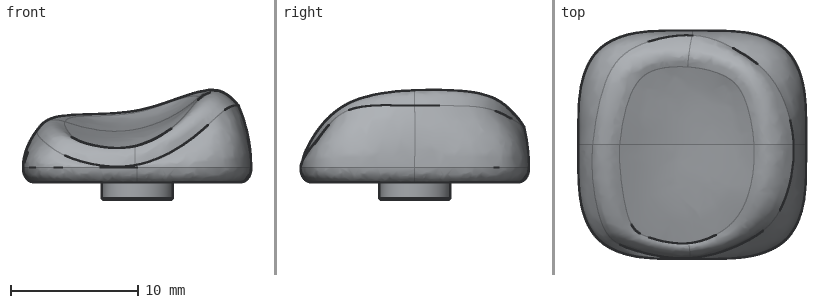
import cadquery as cq
import math

half_width = 8.97
half_depth = 8.98
squareness = 3.6
widest_height = 1.17
underside_inset = 0.86
outline_stations = 24

stem_diameter = 5.6
stem_length = 1.38
stem_chamfer = 0.15

outer_rim = [
    (-7.82, 0.0, 4.17),
    (-6.81, 4.9, 4.67),
    (-4.5, 7.65, 4.55),
    (0.0, 8.59, 4.35),
    (3.6, 7.37, 5.12),
    (6.47, 4.85, 5.93),
    (7.96, 0.0, 6.02),
    (6.97, -4.96, 5.75),
    (4.31, -7.55, 3.45),
    (-0.18, -8.9, 1.35),
    (-4.85, -8.18, 1.78),
    (-7.19, -5.93, 3.09),
]
crest = [
    (-6.92, 0.0, 4.85),
    (-6.02, 4.13, 5.21),
    (-3.95, 6.74, 5.3),
    (-0.22, 7.45, 5.48),
    (3.05, 6.74, 6.33),
    (5.3, 4.5, 7.06),
    (6.33, 0.0, 7.22),
    (5.66, -4.4, 6.56),
    (3.77, -7.19, 4.64),
    (-0.18, -8.45, 2.6),
    (-4.22, -7.82, 2.84),
    (-6.29, -5.57, 3.9),
]
inner_rim = [
    (-5.7, 0.0, 4.76),
    (-5.03, 3.41, 5.12),
    (-3.41, 5.66, 5.21),
    (-0.36, 6.11, 5.43),
    (2.15, 5.57, 6.15),
    (3.95, 3.95, 6.7),
    (4.85, 0.0, 6.7),
    (4.42, -3.83, 6.07),
    (2.8, -6.43, 4.35),
    (-0.29, -7.73, 2.79),
    (-3.49, -7.25, 2.91),
    (-5.14, -5.27, 3.65),
]
bowl_floor = [
    (-3.6, 0.0, 4.19),
    (-1.44, 0.0, 4.0),
    (1.8, 0.0, 4.75),
]


def closed_curve(points):
    """Closed spline whose points are evenly spread over its parameter range."""
    steps = [i / len(points) for i in range(len(points) + 1)]
    vectors = [cq.Vector(*point) for point in points]
    return cq.Edge.makeSpline(vectors, periodic=True, parameters=steps)


def footprint(inset, height):
    """Superellipse points of the footprint, moved inward and placed at a height."""
    points = []
    for station in range(outline_stations):
        angle = math.pi - 2 * math.pi * station / outline_stations
        c = math.cos(angle)
        s = math.sin(angle)
        stretch = (abs(c) ** squareness + abs(s) ** squareness) ** (1 / squareness)
        x = (half_width - inset) * c / stretch
        y = (half_depth - inset) * s / stretch
        points.append((x, y, height))
    return points


def lower_edge(angle):
    """Rounded lower edge, from the underside (0 degrees) to the widest outline (90 degrees)."""
    turn = math.radians(angle)
    inset = underside_inset * (1 - math.sin(turn))
    height = widest_height * (1 - math.cos(turn))
    return closed_curve(footprint(inset, height))


def middle_of_wall(rim):
    """Curve halfway up the side wall, which bends inward parabolically toward the rim."""
    rise = 0.5
    inward = rise**2
    points = []
    for station, (x, y, z) in enumerate(footprint(0, widest_height)):
        top = rim.positionAt(station / outline_stations, mode="parameter")
        points.append((x + (top.x - x) * inward, y + (top.y - y) * inward, z + (top.z - z) * rise))
    return closed_curve(points)


def quarter_patches(curves):
    """Smooth skin through closed curves, parted into four faces at the X and Y axis stations."""
    wires = [cq.Wire.assembleEdges([curve]) for curve in curves]
    skin = cq.occ_impl.shapes.loft(wires, parametrization="uniform").Faces()[0]
    return [skin.trim(quarter / 4, (quarter + 1) / 4, 0, 1) for quarter in range(4)]


def bowl_halves(rim):
    """Two faces that hang between the inner rim and the floor curve crossing it along X."""
    left = rim.positionAt(0, mode="parameter")
    right = rim.positionAt(0.5, mode="parameter")
    floor = cq.Edge.makeSpline([left] + [cq.Vector(*point) for point in bowl_floor] + [right])
    back = rim.trim(0, 0.5)
    front = rim.trim(0.5, 1)
    return [cq.Face.makeNSidedSurface([side, floor], []) for side in (back, front)]


lower_curves = [lower_edge(angle) for angle in (0, 30, 60, 90)]
underside_curve = lower_curves[0]
widest_curve = lower_curves[-1]
outer_curve = closed_curve(outer_rim)
crest_curve = closed_curve(crest)
inner_curve = closed_curve(inner_rim)

faces = [cq.Face.makeFromWires(cq.Wire.assembleEdges([underside_curve]))]
faces += quarter_patches(lower_curves)
faces += quarter_patches([widest_curve, middle_of_wall(outer_curve), outer_curve])
faces += quarter_patches([outer_curve, crest_curve, inner_curve])
faces += bowl_halves(inner_curve)

sewing_tolerance = 0.001
cap = cq.Solid.makeSolid(cq.occ_impl.shapes.shell(*faces, tol=sewing_tolerance))

stem = cq.Workplane("XY").circle(stem_diameter / 2).extrude(-stem_length)
stem = stem.faces("<Z").chamfer(stem_chamfer)

result = stem.union(cq.Workplane(cap), clean=False)